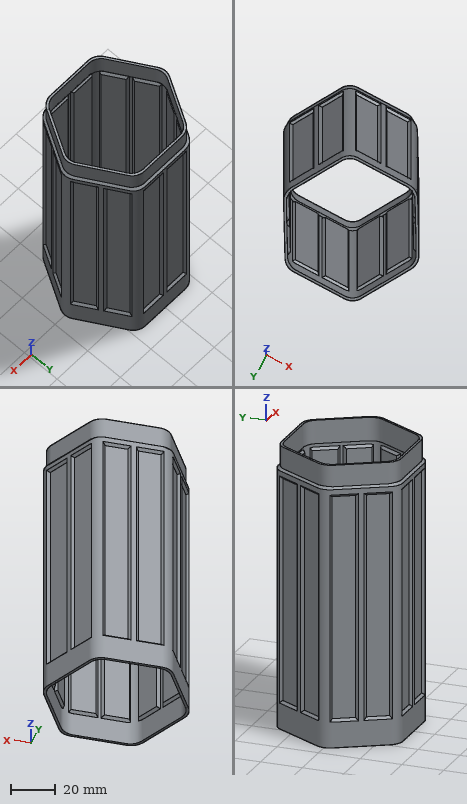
import cadquery as cq
import math

height = 135
faces = 6
wall = 1.2
body_flats = 60.0
corner_radius = 7.4

lip_height = 10.3
lip_flats = body_flats - 2 * wall
shoulder_rise = 1.0
shoulder_overlap = 1.3

panel_bottom = 12.4
panel_top = 121.2
panel_width = 13.0
rib_width = 2.4
panel_depth = 1.2
panel_bevel = 1.2

body_height = height - lip_height
bore_flats = body_flats - 2 * wall
bore_height = body_height - shoulder_rise
panel_height = panel_top - panel_bottom
panel_middle = (panel_top + panel_bottom) / 2
panel_spacing = panel_width + rib_width


def hex_prism(flats, radius, bottom, top):
    """Hexagonal prism with rounded upright edges and two corners on the X axis."""
    across_corners = flats / math.cos(math.pi / faces)
    prism = cq.Workplane("XY").workplane(offset=bottom).polygon(faces, across_corners).extrude(top - bottom)
    return prism.edges("|Z").fillet(radius)


def panel_block(apothem, margin):
    """Block of one panel at the -Y face: its outline, widened by a margin, narrows inwards on bevels."""
    width = panel_width + 2 * margin
    tall = panel_height + 2 * margin
    return (
        cq.Workplane("XZ", origin=(0, -apothem, panel_middle))
        .rect(width, tall)
        .workplane(offset=-panel_depth)
        .rect(width - 2 * panel_bevel, tall - 2 * panel_bevel)
        .loft(ruled=True)
    )


def on_all_faces(block):
    """Copies of a -Y block, side by side on each face of the hexagon."""
    copies = []
    for face in range(faces):
        for side in (-1, 1):
            placed = block.translate((side * panel_spacing / 2, 0, 0))
            copies.append(placed.rotate((0, 0, 0), (0, 0, 1), face * 360 / faces))
    return copies


slope_rise = shoulder_rise * shoulder_overlap
slope_run = wall * shoulder_overlap
body_top = body_height + slope_rise - shoulder_rise
body = hex_prism(body_flats, corner_radius, 0, body_top)
body = body.faces(">Z").chamfer(slope_rise, slope_run)
lip = hex_prism(lip_flats, corner_radius, bore_height, height)

bore = hex_prism(bore_flats, corner_radius, 0, bore_height)
lip_opening = hex_prism(lip_flats - 2 * wall, corner_radius, bore_height, height)
tube = body.union(lip).cut(bore).cut(lip_opening)

bevel_angle = math.atan2(panel_depth, panel_bevel)
bulge_margin = wall * math.tan(bevel_angle / 2)
for bulge in on_all_faces(panel_block(bore_flats / 2, bulge_margin)):
    tube = tube.union(bulge)
for recess in on_all_faces(panel_block(body_flats / 2, 0)):
    tube = tube.cut(recess)

result = tube